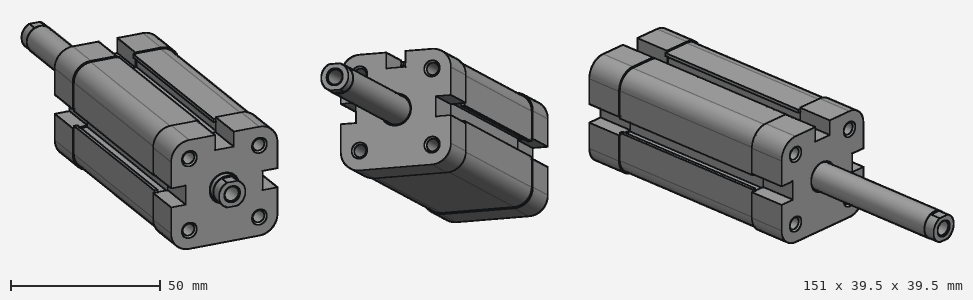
import cadquery as cq

rod_length = 151.0
front_cap_start = 56.0
body_length = 89.0
cap_length = 13.75
tube_length = body_length - 2 * cap_length
tube_start = front_cap_start + cap_length

cap_width = 39.5
tube_width = 38.5
corner_centre = 13.0

cap_slot_width = 6.9
slot_floor = 14.3
tube_slot_width = 5.3
tube_undercut_width = 8.0
tube_lip_thickness = 1.2
slot_angles = (0, 90, -90)

screw_hole_diameter = 4.25
screw_chamfer = 0.65
bore_chamfer = 0.5

rod_diameter = 10.0
flat_distance = 9.0
tip_diameter = 9.8
tip_length = 4.2
flat_length = 4.0
thread_hole_diameter = 5.1
thread_hole_depth = 12.0
thread_hole_chamfer = 0.4
drill_tip_height = 1.5


def square_bar(start, length, width):
    """Square bar along X whose corner rounds are centred on the screw holes."""
    bar = cq.Workplane("YZ", origin=(start, 0, 0)).rect(width, width).extrude(length)
    return bar.edges("|X").fillet(width / 2 - corner_centre)


def groove(start, length, width, bottom, top, angle):
    """Rectangular bar at a height range above the axis, turned about X to the side it cuts."""
    bar = cq.Workplane("XY").box(length, width, top - bottom, centered=(False, True, False))
    return bar.translate((start, 0, bottom)).rotate((0, 0, 0), (1, 0, 0), angle)


def along_x(start, points, length, diameter):
    """Cylinders along X, one at each (Y, Z) point."""
    return cq.Workplane("YZ", origin=(start, 0, 0)).pushPoints(points).circle(diameter / 2).extrude(length)


smallest_round = cq.selectors.RadiusNthSelector(0)
screw_points = [(y, z) for y in (-corner_centre, corner_centre) for z in (-corner_centre, corner_centre)]


def bore_mouth():
    """Cone that chamfers the outer end of a cap's rod bore."""
    mouth_radius = rod_diameter / 2 + bore_chamfer
    return cq.Workplane(cq.Solid.makeCone(mouth_radius, rod_diameter / 2, bore_chamfer, dir=cq.Vector(1, 0, 0)))


def make_cap():
    """End cap with its outer face at X = 0."""
    cap = square_bar(0, cap_length, cap_width)
    for angle in slot_angles:
        cap = cap.cut(groove(0, cap_length, cap_slot_width, slot_floor, cap_width, angle))
    cap = cap.cut(along_x(0, screw_points, cap_length, screw_hole_diameter))
    cap = cap.faces("<X").edges("%CIRCLE").edges(smallest_round).chamfer(screw_chamfer)
    bore = along_x(0, [(0, 0)], cap_length, rod_diameter)
    bore = bore.union(bore_mouth())
    return cap.cut(bore)


def make_tube():
    """Profile tube with T-slots, between the two caps."""
    tube = square_bar(tube_start, tube_length, tube_width)
    lip_bottom = tube_width / 2 - tube_lip_thickness
    for angle in slot_angles:
        tube = tube.cut(groove(tube_start, tube_length, tube_slot_width, slot_floor, cap_width, angle))
        tube = tube.cut(groove(tube_start, tube_length, tube_undercut_width, slot_floor, lip_bottom, angle))
    tube = tube.cut(along_x(tube_start, screw_points, tube_length, screw_hole_diameter))
    return tube.cut(along_x(tube_start, [(0, 0)], tube_length, rod_diameter))


def make_rod():
    """Rod running through both caps and the tube, starting at X = 0."""
    shank_length = rod_length - 2 * tip_length
    rod = along_x(0, [(0, 0)], rod_length, tip_diameter)
    shank = along_x(tip_length, [(0, 0)], shank_length, rod_diameter)
    rod = rod.union(shank)
    for start in (0, rod_length - flat_length):
        for angle in (0, 180):
            rod = rod.cut(groove(start, flat_length, rod_diameter, flat_distance / 2, rod_diameter, angle))
    hole_radius = thread_hole_diameter / 2
    mouth_radius = hole_radius + thread_hole_chamfer
    hole = (
        cq.Workplane("XZ")
        .lineTo(0, mouth_radius)
        .lineTo(thread_hole_chamfer, hole_radius)
        .lineTo(thread_hole_depth, hole_radius)
        .lineTo(thread_hole_depth + drill_tip_height, 0)
        .close()
        .revolve(360, (0, 0), (1, 0))
    )
    rod = rod.cut(hole)
    return rod.cut(hole.mirror("YZ").translate((rod_length, 0, 0)))


front_cap = make_cap().translate((front_cap_start, 0, 0))
rear_cap = make_cap().mirror("YZ").translate((front_cap_start + body_length, 0, 0))
tube = make_tube()
rod = make_rod()

result = cq.Compound.makeCompound([front_cap.val(), rear_cap.val(), tube.val(), rod.val()])